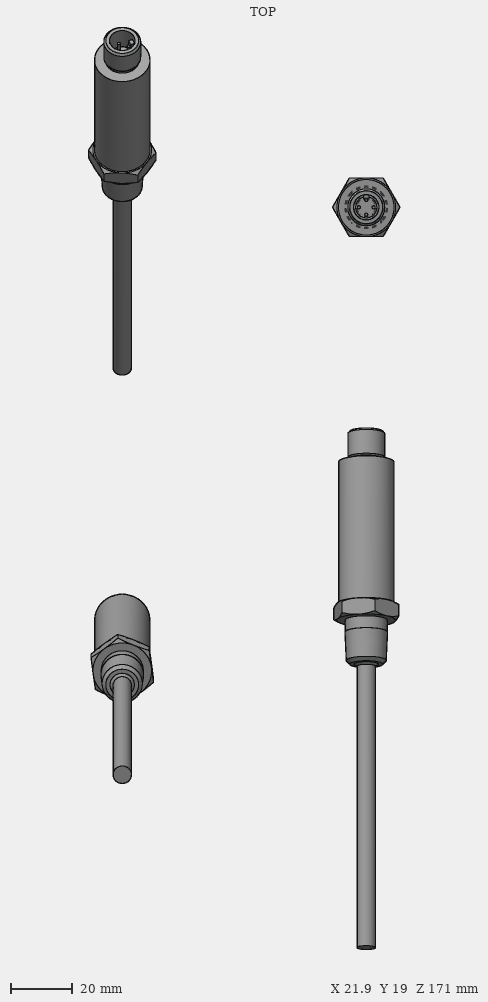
import cadquery as cq
import math

TOTAL_HEIGHT = 171.0
FITTING_BOTTOM = 93.9
SEAL_HEIGHT = 0.7
TAPER_TOP = 104.5
HEX_BOTTOM = 108.4
HEX_TOP = 113.9
BODY_TOP = 160.9
COLLAR_BOTTOM = 162.0

PROBE_DIAMETER = 6.0
SEAL_DIAMETER = 7.9
TAPER_SMALL_DIAMETER = 13.0
TAPER_LARGE_DIAMETER = 13.9
NECK_DIAMETER = 13.7
BODY_DIAMETER = 18.0
COLLAR_DIAMETER = 12.0
GROOVE_DIAMETER = 11.0

HEX_SIDES = 6
HEX_ACROSS_FLATS = 19.0
HEX_CHAMFER_ANGLE = 30.0

FITTING_CHAMFER = 1.2
COLLAR_CHAMFER = 0.7

SOCKET_DIAMETER = 8.2
SOCKET_DEPTH = 8.5
SOCKET_FLOOR = TOTAL_HEIGHT - SOCKET_DEPTH
INSERT_DIAMETER = 6.8
INSERT_HEIGHT = 1.0
PIN_COUNT = 4
PIN_DIAMETER = 1.0
PIN_CIRCLE_DIAMETER = 4.8
PIN_TOP_RECESS = 4.3
KEY_WIDTH = 1.7
KEY_TOP_RECESS = 2.7
KEY_HEIGHT = 1.4
KEY_ANGLE = 90.0


def turned_shaft():
    """Probe, tapered fitting, sensor body and plug collar, turned about Z."""
    probe_radius = PROBE_DIAMETER / 2
    seal_radius = SEAL_DIAMETER / 2
    taper_small_radius = TAPER_SMALL_DIAMETER / 2
    taper_large_radius = TAPER_LARGE_DIAMETER / 2
    neck_radius = NECK_DIAMETER / 2
    body_radius = BODY_DIAMETER / 2
    groove_radius = GROOVE_DIAMETER / 2
    collar_radius = COLLAR_DIAMETER / 2
    profile = [
        (0, 0),
        (probe_radius, 0),
        (probe_radius, FITTING_BOTTOM - SEAL_HEIGHT),
        (seal_radius, FITTING_BOTTOM),
        (taper_small_radius - FITTING_CHAMFER, FITTING_BOTTOM),
        (taper_small_radius, FITTING_BOTTOM + FITTING_CHAMFER),
        (taper_large_radius, TAPER_TOP),
        (neck_radius, TAPER_TOP),
        (neck_radius, HEX_TOP),
        (body_radius, HEX_TOP),
        (body_radius, BODY_TOP),
        (groove_radius, BODY_TOP),
        (groove_radius, COLLAR_BOTTOM),
        (collar_radius, COLLAR_BOTTOM + collar_radius - groove_radius),
        (collar_radius, TOTAL_HEIGHT - COLLAR_CHAMFER),
        (collar_radius - COLLAR_CHAMFER, TOTAL_HEIGHT),
        (0, TOTAL_HEIGHT),
    ]
    return cq.Workplane("XZ").polyline(profile).close().revolve(360, (0, 0), (0, 1))


def hexagon():
    """Hexagon whose corners are cut by a cone at both ends."""
    height = HEX_TOP - HEX_BOTTOM
    across_corners = HEX_ACROSS_FLATS / math.cos(math.pi / HEX_SIDES)
    prism = (
        cq.Workplane("XY", origin=(0, 0, HEX_BOTTOM))
        .polygon(HEX_SIDES, across_corners)
        .extrude(height)
    )
    end_radius = HEX_ACROSS_FLATS / 2
    corner_radius = across_corners / 2
    corner_drop = (corner_radius - end_radius) * math.tan(math.radians(HEX_CHAMFER_ANGLE))
    envelope = (
        cq.Workplane("XZ")
        .polyline([
            (0, HEX_BOTTOM),
            (end_radius, HEX_BOTTOM),
            (corner_radius, HEX_BOTTOM + corner_drop),
            (corner_radius, HEX_TOP - corner_drop),
            (end_radius, HEX_TOP),
            (0, HEX_TOP),
        ])
        .close()
        .revolve(360, (0, 0), (0, 1))
    )
    return prism.intersect(envelope)


def socket():
    """Round recess in the collar."""
    return (
        cq.Workplane("XY", origin=(0, 0, SOCKET_FLOOR))
        .circle(SOCKET_DIAMETER / 2)
        .extrude(SOCKET_DEPTH)
    )


def contact_insert():
    """Raised disc on the socket floor that carries the pins."""
    return (
        cq.Workplane("XY", origin=(0, 0, SOCKET_FLOOR))
        .circle(INSERT_DIAMETER / 2)
        .extrude(INSERT_HEIGHT)
    )


def contact_pins():
    """Ring of pins rising from the socket floor through the insert."""
    return (
        cq.Workplane("XY", origin=(0, 0, SOCKET_FLOOR))
        .polarArray(PIN_CIRCLE_DIAMETER / 2, 0, 360, PIN_COUNT)
        .circle(PIN_DIAMETER / 2)
        .extrude(SOCKET_DEPTH - PIN_TOP_RECESS)
    )


def key_rib():
    """Straight rib along the socket wall that sets the plug's orientation."""
    outer_radius = (SOCKET_DIAMETER + COLLAR_DIAMETER) / 4
    inner_radius = SOCKET_DIAMETER / 2 - KEY_HEIGHT
    return (
        cq.Workplane("XY", origin=(0, 0, SOCKET_FLOOR))
        .center((outer_radius + inner_radius) / 2, 0)
        .rect(outer_radius - inner_radius, KEY_WIDTH)
        .extrude(SOCKET_DEPTH - KEY_TOP_RECESS)
        .rotate((0, 0, 0), (0, 0, 1), KEY_ANGLE)
    )


result = (
    turned_shaft()
    .union(hexagon())
    .cut(socket())
    .union(contact_insert())
    .union(contact_pins())
    .union(key_rib())
)